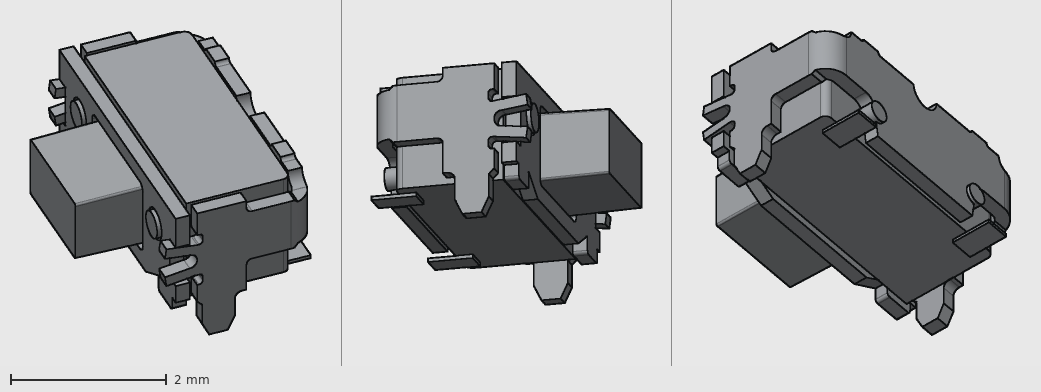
import cadquery as cq
import math


width = 3.9
height = 1.5
sheet = 0.2
gap = 0.05
half_width = width / 2
mid_height = height / 2

housing_width = width - 2 * (sheet + gap)
housing_front = sheet + gap
housing_rear = 1.7
housing_corner_radius = 0.1
peg_diameter = 0.38
peg_x = 1.265
peg_z = 0.945
peg_tip = -gap
rear_pin_diameter = 0.3
rear_pin_x = 0.995
rear_pin_z = 0.382
foot_thickness = 0.05
foot_width = 0.35
foot_x = 1.322
foot_length = 0.6
foot_rear = 2.07

shell_rear = housing_rear + gap + sheet
rear_pin_tip = shell_rear + gap
bend_inner_radius = 0.15
bend_radius = bend_inner_radius + sheet
side_front = 0.3
strap_front = 0.985
strap_top = 1.32
strap_bottom = 0.555
strap_corner_radius = 0.078
bend_top = 1.27
bend_bottom = 0.605
bend_step_y = 1.658
bend_step_length = 0.05

finger_root_height = 0.24
finger_tip_outer = (-0.13, 0.295)
finger_tip_inner = (-0.15, 0.15)
finger_throat_radius = 0.105
throat_y = side_front - finger_throat_radius
relief_height = 0.4
relief_rear = 0.38
relief_radius = 0.055

leg_front = 0.37
leg_rear = 0.825
leg_end = -0.5
leg_taper_start = -0.295
leg_tip_front = 0.468
leg_tip_rear = 0.725
leg_root_front = 0.008
leg_flare_top = 0.075
leg_flare_radius = 0.098

wall_end_x = 1.677
wall_top = 1.45
tab_outer_x = 1.248
tab_inner_x = 0.95
tab_rise = height - wall_top
wall_rise_radius = wall_top - bend_top
wall_notch_radius = 0.23
wall_foot_x = 0.96
wall_side_angle = 8.5
wall_fillet_radius = 0.18
rear_zone_depth = bend_radius

plate_bottom = -foot_thickness
finger_slot_top = 1.035
finger_slot_bottom = 0.417
peg_hole_diameter = 0.44
window_width = 1.693
window_height = 1.085
window_z = 0.725
window_radius = 0.1
plate_corner_inset = 0.117
plate_corner_height = 0.15
plate_corner_radius = 0.045
plate_notch_outer_x = 1.373
plate_notch_inner_x = 0.948
plate_notch_top = 0.185

button_z = 0.72
button_tip = -0.9
button_base_size = (1.545, 0.92)
button_tip_size = (1.517, 0.878)
button_edge_radius = 0.027


def front_plane(y):
    """XZ sketch plane at the given Y; positive extrusion runs toward -Y."""
    return cq.Workplane("XZ", origin=(0, y, 0))


def side_plane():
    """YZ sketch plane on the outside of the -X wall."""
    return cq.Workplane("YZ", origin=(-half_width, 0, 0))


def make_box(x_range, y_range, z_range):
    (x0, x1), (y0, y1), (z0, z1) = x_range, y_range, z_range
    return cq.Workplane("XY").box(x1 - x0, y1 - y0, z1 - z0, centered=False).translate((x0, y0, z0))


def make_pair_of_rods(x, z, diameter, y_start, y_end):
    return front_plane(y_end).pushPoints([(-x, z), (x, z)]).circle(diameter / 2).extrude(y_end - y_start)


def make_housing():
    half = housing_width / 2
    body = make_box((-half, half), (housing_front, housing_rear), (0, height))
    body = body.edges("|Z and >Y").fillet(housing_corner_radius)
    body = body.union(make_pair_of_rods(peg_x, peg_z, peg_diameter, peg_tip, housing_front))
    body = body.union(make_pair_of_rods(rear_pin_x, rear_pin_z, rear_pin_diameter, housing_rear, rear_pin_tip))
    for side in (-1, 1):
        center = side * foot_x
        foot_span = (center - foot_width / 2, center + foot_width / 2)
        foot_y = (foot_rear - foot_length, foot_rear)
        body = body.union(make_box(foot_span, foot_y, (-foot_thickness, 0)))
    return body


def make_wrap():
    """Sheet bent into a U around the housing, before its edges are trimmed."""
    inner = half_width - sheet
    reach = finger_tip_inner[0]
    outside = make_box((-half_width, half_width), (reach, shell_rear), (leg_end, height))
    inside = make_box((-inner, inner), (reach, shell_rear - sheet), (leg_end, height))
    outside = outside.edges("|Z and >Y").fillet(bend_radius)
    inside = inside.edges("|Z and >Y").fillet(bend_inner_radius)
    return outside.cut(inside)


def make_side_walls():
    """Side walls with their straps and legs, without the finger details."""
    step_end = bend_step_y + bend_step_length
    arc_offset = strap_corner_radius * (1 - math.sqrt(0.5))
    flare_offset = leg_flare_radius * (1 - math.sqrt(0.5))
    flare_y = leg_rear + leg_flare_radius
    outline = side_plane().moveTo(side_front, height).lineTo(strap_front, height)
    outline = outline.lineTo(strap_front, strap_top + strap_corner_radius)
    outline = outline.threePointArc(
        (strap_front + arc_offset, strap_top + arc_offset), (strap_front + strap_corner_radius, strap_top)
    )
    outline = outline.lineTo(bend_step_y, strap_top).lineTo(step_end, bend_top).lineTo(shell_rear, bend_top)
    outline = outline.lineTo(shell_rear, bend_bottom).lineTo(step_end, bend_bottom)
    outline = outline.lineTo(bend_step_y, strap_bottom).lineTo(strap_front + strap_corner_radius, strap_bottom)
    outline = outline.threePointArc(
        (strap_front + arc_offset, strap_bottom - arc_offset), (strap_front, strap_bottom - strap_corner_radius)
    )
    outline = outline.lineTo(strap_front, leg_flare_top).lineTo(flare_y, leg_flare_top)
    outline = outline.threePointArc(
        (leg_rear + flare_offset, leg_flare_top - flare_offset), (leg_rear, leg_flare_top - leg_flare_radius)
    )
    outline = outline.lineTo(leg_rear, leg_taper_start).lineTo(leg_tip_rear, leg_end)
    outline = outline.lineTo(leg_tip_front, leg_end).lineTo(leg_front, leg_taper_start)
    outline = outline.lineTo(leg_front, leg_root_front).lineTo(side_front, leg_root_front + leg_front - side_front)
    return outline.close().extrude(width)


def make_fingers():
    """Pair of fingers that spread slightly away from each other, with a round throat between them."""
    upper = [
        (side_front, finger_root_height),
        finger_tip_outer,
        finger_tip_inner,
        (throat_y, finger_throat_radius),
    ]
    lower = [(y, -z) for y, z in reversed(upper)]
    plane = side_plane().center(0, mid_height)
    fingers = plane.polyline(upper + lower).close().extrude(width)
    return fingers.cut(plane.center(throat_y, 0).circle(finger_throat_radius).extrude(width))


def make_finger_relief(side):
    """Notch in the side walls beside one finger: +1 above the pair, -1 below it."""
    z_range = sorted(mid_height + side * z for z in (finger_root_height, relief_height))
    relief = make_box((-half_width, half_width), (side_front, relief_rear), z_range)
    return relief.edges("|X and >Y").fillet(relief_radius)


def make_rear_wall():
    """Rear wall between the two bends."""
    rise = wall_rise_radius
    rise_offset = rise * math.sqrt(0.5)
    tab_offset = tab_rise * math.sqrt(0.5)
    fillet_z = bend_bottom - wall_fillet_radius
    slant = math.radians(wall_side_angle)
    fillet_x = wall_foot_x + fillet_z * math.tan(slant) + wall_fillet_radius / math.cos(slant)

    def fillet_point(angle):
        return (-fillet_x + wall_fillet_radius * math.cos(angle), fillet_z + wall_fillet_radius * math.sin(angle))

    outline = front_plane(shell_rear).moveTo(0, wall_top).lineTo(-tab_inner_x + tab_rise, wall_top)
    outline = outline.threePointArc(
        (-tab_inner_x + tab_rise - tab_offset, height - tab_offset), (-tab_inner_x, height)
    )
    outline = outline.lineTo(-tab_outer_x, height)
    outline = outline.threePointArc(
        (-tab_outer_x - tab_rise + tab_offset, height - tab_offset), (-tab_outer_x - tab_rise, wall_top)
    )
    outline = outline.lineTo(-wall_end_x + rise, wall_top)
    outline = outline.threePointArc((-wall_end_x + rise_offset, wall_top - rise_offset), (-wall_end_x, bend_top))
    outline = outline.lineTo(-wall_end_x, bend_bottom).lineTo(-fillet_x, bend_bottom)
    outline = outline.threePointArc(fillet_point(math.pi / 4), fillet_point(slant))
    half_wall = outline.lineTo(-wall_foot_x, 0).lineTo(0, 0).close().extrude(rear_zone_depth)
    wall = half_wall.union(half_wall.mirror("YZ"))
    notch = front_plane(shell_rear).center(0, wall_top).circle(wall_notch_radius).extrude(rear_zone_depth)
    pin_seats = make_pair_of_rods(
        rear_pin_x, rear_pin_z, rear_pin_diameter, shell_rear - rear_zone_depth, shell_rear
    )
    return wall.cut(notch).cut(pin_seats)


def make_shell():
    wrap = make_wrap()
    sides = make_side_walls()
    for side in (-1, 1):
        sides = sides.cut(make_finger_relief(side))
    sides = sides.union(make_fingers())
    between_bends = make_box(
        (-wall_end_x, wall_end_x), (shell_rear - rear_zone_depth, shell_rear), (leg_end, height)
    )
    return wrap.intersect(sides).cut(between_bends).union(wrap.intersect(make_rear_wall()))


def round_plate_corner(plate, x):
    """Round the bottom corner of the plate at the given X."""
    reach = plate_corner_radius
    around = cq.selectors.BoxSelector(
        (x - reach, -reach, plate_bottom - reach), (x + reach, sheet + reach, plate_bottom + reach)
    )
    return plate.edges("|Y").edges(around).fillet(plate_corner_radius)


def make_plate():
    plate = make_box((-half_width, half_width), (0, sheet), (plate_bottom, height))
    for side in (-1, 1):
        slot_x = sorted((side * half_width, side * (half_width - sheet)))
        plate = plate.cut(make_box(slot_x, (0, sheet), (finger_slot_bottom, finger_slot_top)))
        corner_x = sorted((side * half_width, side * (half_width - plate_corner_inset)))
        plate = plate.cut(make_box(corner_x, (0, sheet), (plate_bottom, plate_corner_height)))
        notch = front_plane(sheet).polyline([
            (side * plate_notch_outer_x, plate_bottom),
            (side * plate_notch_outer_x, plate_notch_top),
            (side * plate_notch_inner_x, plate_bottom),
        ])
        plate = plate.cut(notch.close().extrude(sheet))
    for side in (-1, 1):
        plate = round_plate_corner(plate, side * (half_width - plate_corner_inset))
        plate = round_plate_corner(plate, side * plate_notch_outer_x)
    plate = plate.cut(make_pair_of_rods(peg_x, peg_z, peg_hole_diameter, 0, sheet))
    window = front_plane(sheet).center(0, window_z).rect(window_width, window_height).extrude(sheet)
    return plate.cut(window.edges("|Y").fillet(window_radius))


def make_button():
    length = housing_front - button_tip
    base = front_plane(housing_front).center(0, button_z).rect(*button_base_size)
    body = base.workplane(offset=length).rect(*button_tip_size).loft(combine=True)
    return body.edges("not (#Y)").fillet(button_edge_radius)


housing = make_housing()
shell = make_shell()
plate = make_plate()
button = make_button()

result = cq.Compound.makeCompound([housing.val(), shell.val(), plate.val(), button.val()])